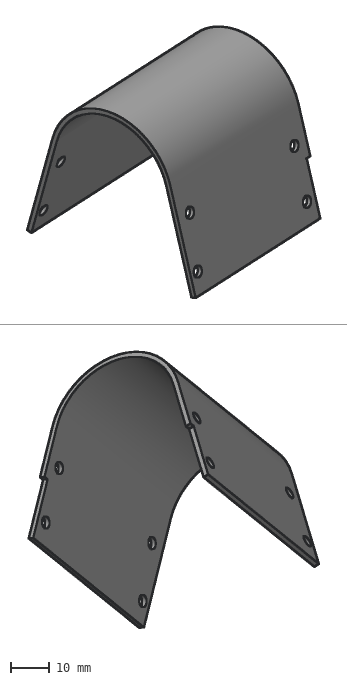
import cadquery as cq
import math

thickness = 1.5
outer_radius = 20.5
inner_radius = outer_radius - thickness
length = 54.0
leg_length = 32.09
splay_angle = 15.3

hole_diameter = 3.2
lower_hole_height = 6.3
hole_pitch = 16.0
upper_hole_height = lower_hole_height + hole_pitch
rear_hole_inset = 5.0
upper_front_inset = 5.0
lower_front_inset = 3.0
rear_hole_y = length - rear_hole_inset
hole_positions = [
    (lower_front_inset, lower_hole_height),
    (rear_hole_y, lower_hole_height),
    (upper_front_inset, upper_hole_height),
    (rear_hole_y, upper_hole_height),
]

notch_depth = 1.5
notch_height = 17.2

cut_margin = 1.0

splay = math.radians(splay_angle)


def leg_point(radius, distance):
    """XZ point on the +X leg: radius picks the face, distance runs down from the tangent."""
    x = radius * math.cos(splay) + distance * math.sin(splay)
    z = radius * math.sin(splay) - distance * math.cos(splay)
    return x, z


def mirrored(point):
    """The matching XZ point on the -X leg."""
    return -point[0], point[1]


def make_sheet():
    """Constant-thickness profile, extruded along +Y; the bend axis is the Y axis."""
    outer_tangent = leg_point(outer_radius, 0)
    inner_tangent = leg_point(inner_radius, 0)
    outer_foot = leg_point(outer_radius, leg_length)
    inner_foot = leg_point(inner_radius, leg_length)
    profile = (
        cq.Workplane("XZ")
        .moveTo(*mirrored(outer_foot))
        .lineTo(*mirrored(outer_tangent))
        .threePointArc((0, outer_radius), outer_tangent)
        .lineTo(*outer_foot)
        .lineTo(*inner_foot)
        .lineTo(*inner_tangent)
        .threePointArc((0, inner_radius), mirrored(inner_tangent))
        .lineTo(*mirrored(inner_foot))
        .close()
    )
    return profile.extrude(-length)


def leg_workplane():
    """Plane just outside the +X leg: local x runs along +Y, local y up the leg from its foot."""
    foot_x, foot_z = leg_point(outer_radius, leg_length)
    plane = cq.Plane(
        origin=(foot_x, 0, foot_z),
        xDir=(0, 1, 0),
        normal=(math.cos(splay), 0, math.sin(splay)),
    )
    return cq.Workplane(plane).workplane(offset=cut_margin)


def make_leg_cutter():
    """Holes and rear notch of the +X leg, square to the sheet."""
    cut_depth = thickness + 2 * cut_margin
    holes = leg_workplane().pushPoints(hole_positions).circle(hole_diameter / 2).extrude(-cut_depth)
    notch = (
        leg_workplane()
        .moveTo(length - notch_depth, notch_height)
        .lineTo(length + cut_margin, notch_height)
        .lineTo(length + cut_margin, -cut_margin)
        .lineTo(length - notch_depth, -cut_margin)
        .close()
        .extrude(-cut_depth)
    )
    return holes.union(notch)


leg_cutter = make_leg_cutter()
result = make_sheet().cut(leg_cutter).cut(leg_cutter.mirror("YZ"))